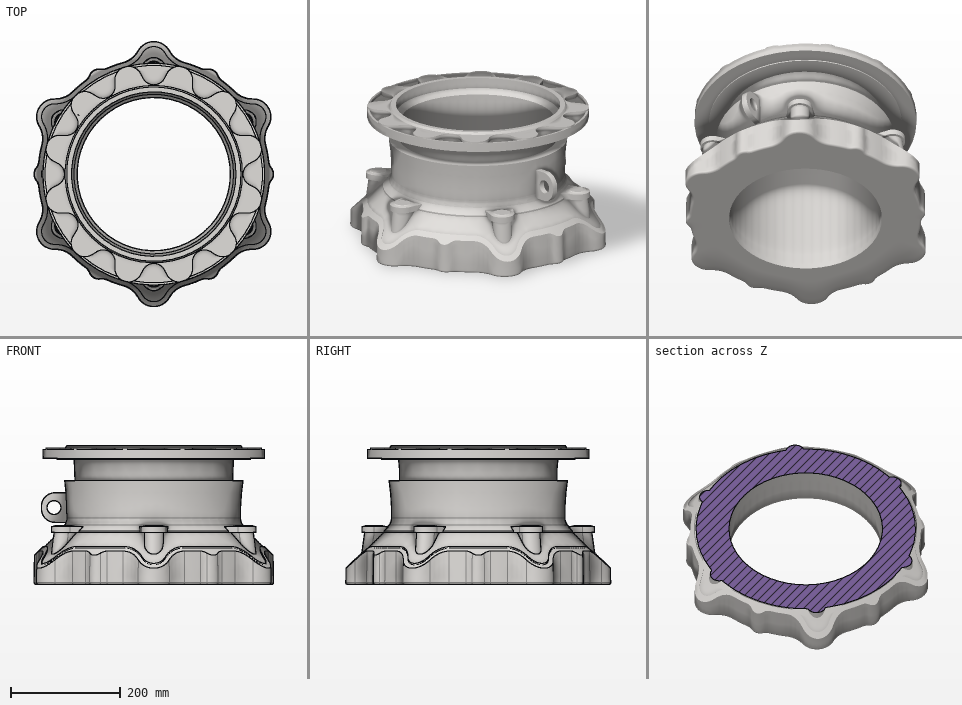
import cadquery as cq
import math

TOTAL_HEIGHT = 254.31
BORE_RADIUS = 280 / 2

MAIN_TIP_RADIUS = 485.42 / 2
SMALL_TIP_RADIUS = 438.73 / 2
BASE_RADIUS = 212.0
WALL_DRAFT = 1.0
BASE_EDGE_RADIUS = 4.0
MAIN_LOBE_ROUND = 33.0
MAIN_LOBE_FILLET = 45.0
SMALL_LOBE_ROUND = 18.5
SMALL_LOBE_FILLET = 22.0
LOBE_STEP = 60
MAIN_LOBE_ANGLES = range(30, 390, LOBE_STEP)
SMALL_LOBE_ANGLES = range(0, 360, LOBE_STEP)

SHOULDER_TOP = 109.5
SHOULDER_CONE_SUM = 272.3
RECESS_DEPTH = 3.0
RECESS_INSET = 9.3
COLLAR_RADIUS = 174.0

BODY_FOOT_RADIUS = SHOULDER_CONE_SUM - SHOULDER_TOP
BODY_WAIST_RADIUS = 159.0
BODY_WAIST_HEIGHT = 121.5
BODY_FLARE_MID_RADIUS = 159.9
BODY_MID_RADIUS = 159.8
BODY_TOP_RADIUS = 163.5
BODY_TOP = 190.5
NECK_BOTTOM_RADIUS = 144.5
NECK_TOP_RADIUS = 146.0
FLANGE_BOSS_RADIUS = 177.0
FLANGE_BOSS_BOTTOM = 229.0
FLANGE_RADIUS = 406 / 2
FLANGE_BOTTOM = 231.0
FLANGE_EDGE_TOP = 247.7
PAD_TOP = 250.3

RIM_FOOT_RADIUS = 162.3
RIM_TOP_RADIUS = 159.5
MOUTH_RADIUS = 301 / 2
MOUTH_DEPTH = 19.3
MOUTH_CONE_HEIGHT = 9.0

PAD_COUNT = 12
PAD_ROUND = 25.0
PAD_OVERHANG = 0.4
PAD_CENTRE_RADIUS = FLANGE_RADIUS + PAD_OVERHANG - PAD_ROUND
POCKET_INNER_RADIUS = 163.5
POCKET_ROUND = 22.0
POCKET_OUTER_RADIUS = 199.0
POCKET_FLOOR = 242.0

BOSS_CENTRE_RADIUS = 190.5
BOSS_HEAD_RADIUS = 22.5
BOSS_HEAD_BOTTOM = 95.4
BOSS_HEAD_TOP = 106.0
BOSS_CROWN_RISE = 1.5
BOSS_BACK_RADIUS = 165.0
BOSS_HEAD_BACK_HALF_WIDTH = 26.0
BOSS_STEM_RADIUS = 17.4
BOSS_STEM_LENGTH = 50.0
BOSS_STEM_TILT = 8.0
BOSS_SPOT_FOOT_RADIUS = 16.3
BOSS_SPOT_TOP_RADIUS = 14.8
BOSS_SPOT_RISE = 1.0

LUG_TIP_RADIUS = 205.8
LUG_HEIGHT = 54.7
LUG_CORNER_RADIUS = 25.2
LUG_THICKNESS = 10.7
LUG_DRAFT = 2.0
LUG_CENTRE_HEIGHT = 141.0
LUG_ROOT_RADIUS = 150.0
LUG_HOLE_RADIUS = 25 / 2
LUG_HOLE_CENTRE_RADIUS = 182.6


def polar(radius, degrees):
    angle = math.radians(degrees)
    return (radius * math.cos(angle), radius * math.sin(angle))


def lobe_points(base_radius, tip_radius, lobe_round, fillet):
    """Upper half of a lobe on the X axis: polar (radius, degrees) of its tangent and mid points."""
    centre = tip_radius - lobe_round
    fillet_centre_radius = base_radius + fillet
    cosine = (fillet_centre_radius**2 + centre**2 - (lobe_round + fillet) ** 2) / (
        2 * fillet_centre_radius * centre
    )
    spread = math.acos(cosine)
    fillet_x = fillet_centre_radius * cosine
    fillet_y = fillet_centre_radius * math.sin(spread)
    toward_lobe = math.atan2(-fillet_y, centre - fillet_x)
    toward_axis = spread - math.pi
    middle = (toward_lobe + toward_axis) / 2
    points = []
    for direction in (toward_axis, middle, toward_lobe):
        x = fillet_x + fillet * math.cos(direction)
        y = fillet_y + fillet * math.sin(direction)
        points.append((math.hypot(x, y), math.degrees(math.atan2(y, x))))
    return points


def lobed_outline(offset, with_small_lobes):
    """Closed outline: a circle carrying blended lobes, moved outward by offset."""
    main = (MAIN_TIP_RADIUS, MAIN_LOBE_ROUND, MAIN_LOBE_FILLET)
    small = (SMALL_TIP_RADIUS, SMALL_LOBE_ROUND, SMALL_LOBE_FILLET)
    lobes = [(angle, main) for angle in MAIN_LOBE_ANGLES]
    if with_small_lobes:
        lobes += [(angle, small) for angle in SMALL_LOBE_ANGLES]
    lobes.sort()
    base_radius = BASE_RADIUS + offset

    stations = []
    for angle, (tip, lobe_round, fillet) in lobes:
        half = lobe_points(base_radius, tip + offset, lobe_round + offset, fillet - offset)
        before = [polar(radius, angle - spread) for radius, spread in half]
        after = [polar(radius, angle + spread) for radius, spread in reversed(half)]
        spread = half[0][1]
        stations.append((angle - spread, angle + spread, before, polar(tip + offset, angle), after))

    outline = cq.Workplane("XY").moveTo(*stations[0][2][0])
    for index, (_, end, before, tip_point, after) in enumerate(stations):
        next_start = stations[(index + 1) % len(stations)][0] % 360
        if next_start < end:
            next_start += 360
        outline = (
            outline.threePointArc(before[1], before[2])
            .threePointArc(tip_point, after[0])
            .threePointArc(after[1], after[2])
            .threePointArc(polar(base_radius, (end + next_start) / 2), polar(base_radius, next_start))
        )
    return outline.close()


def around_axis(feature, angles):
    """Copies of a feature turned about the Z axis to each angle."""
    copies = [feature.val().rotate(cq.Vector(0, 0, 0), cq.Vector(0, 0, 1), angle) for angle in angles]
    return cq.Workplane(cq.Compound.makeCompound(copies))


def revolved(profile):
    return profile.close().revolve(360, (0, 0, 0), (0, 1, 0))


def cone_below(radius_height_sum, top):
    """Solid of revolution under a 45 degree cone, cut flat at the given height."""
    return revolved(
        cq.Workplane("XZ")
        .lineTo(radius_height_sum, 0)
        .lineTo(radius_height_sum - top, top)
        .lineTo(0, top)
    )


def make_base():
    """Drafted scalloped wall under the shoulder cone, with a recess around the collar."""
    draft = math.radians(WALL_DRAFT)
    foot_offset = BASE_EDGE_RADIUS * (math.tan(draft) + 1 / math.cos(draft) - 1)
    top_offset = foot_offset - SHOULDER_TOP * math.tan(draft)
    foot = lobed_outline(foot_offset, True).val()
    top = lobed_outline(top_offset, True).val().translate(cq.Vector(0, 0, SHOULDER_TOP))
    wall = cq.Workplane(cq.Solid.makeLoft([foot, top], True))
    wall = wall.faces("<Z").edges().fillet(BASE_EDGE_RADIUS)
    base = wall.intersect(cone_below(SHOULDER_CONE_SUM, SHOULDER_TOP))

    recess = lobed_outline(-RECESS_INSET, False).extrude(SHOULDER_TOP)
    recess = recess.cut(cone_below(SHOULDER_CONE_SUM - RECESS_DEPTH, SHOULDER_TOP))
    recess = recess.cut(cq.Workplane("XY").circle(COLLAR_RADIUS).extrude(SHOULDER_TOP))
    return base.cut(recess)


def make_body():
    flare_mid_height = (SHOULDER_TOP + BODY_WAIST_HEIGHT) / 2
    waist_mid_height = (BODY_WAIST_HEIGHT + BODY_TOP) / 2
    return revolved(
        cq.Workplane("XZ")
        .lineTo(BODY_FOOT_RADIUS, 0)
        .lineTo(BODY_FOOT_RADIUS, SHOULDER_TOP)
        .threePointArc((BODY_FLARE_MID_RADIUS, flare_mid_height), (BODY_WAIST_RADIUS, BODY_WAIST_HEIGHT))
        .threePointArc((BODY_MID_RADIUS, waist_mid_height), (BODY_TOP_RADIUS, BODY_TOP))
        .lineTo(NECK_BOTTOM_RADIUS, BODY_TOP)
        .lineTo(NECK_TOP_RADIUS, FLANGE_BOSS_BOTTOM)
        .lineTo(FLANGE_BOSS_RADIUS, FLANGE_BOSS_BOTTOM)
        .lineTo(FLANGE_BOSS_RADIUS, FLANGE_BOTTOM)
        .lineTo(FLANGE_RADIUS, FLANGE_BOTTOM)
        .lineTo(FLANGE_RADIUS, PAD_TOP)
        .lineTo(RIM_FOOT_RADIUS, PAD_TOP)
        .lineTo(RIM_TOP_RADIUS, TOTAL_HEIGHT)
        .lineTo(0, TOTAL_HEIGHT)
    )


def pocket_outline(bottom):
    """Gap between two neighbouring round-ended pads, centred on the X axis."""
    half_pitch = 180 / PAD_COUNT
    pocket_centre = POCKET_INNER_RADIUS + POCKET_ROUND
    pad_x, pad_y = polar(PAD_CENTRE_RADIUS, half_pitch)
    distance = math.hypot(pad_x - pocket_centre, pad_y)
    bearing = math.degrees(math.atan2(pad_y, pad_x - pocket_centre))
    swing = math.degrees(math.acos((POCKET_ROUND + PAD_ROUND) / distance))
    contact_x, contact_y = polar(1, bearing + swing)
    pocket_tangent = (pocket_centre + POCKET_ROUND * contact_x, POCKET_ROUND * contact_y)
    pad_tangent = (pad_x - PAD_ROUND * contact_x, pad_y - PAD_ROUND * contact_y)
    tip_x, tip_y = polar(PAD_ROUND, half_pitch)
    pad_tip = (pad_x + tip_x, pad_y + tip_y)
    middle_x, middle_y = polar(PAD_ROUND, (bearing + swing + 180 + half_pitch + 360) / 2)
    pad_middle = (pad_x + middle_x, pad_y + middle_y)

    def mirrored(point):
        return (point[0], -point[1])

    outer = polar(FLANGE_RADIUS + PAD_ROUND, half_pitch)
    return (
        cq.Workplane("XY", origin=(0, 0, bottom))
        .moveTo(*pocket_tangent)
        .threePointArc((POCKET_INNER_RADIUS, 0), mirrored(pocket_tangent))
        .lineTo(*mirrored(pad_tangent))
        .threePointArc(mirrored(pad_middle), mirrored(pad_tip))
        .lineTo(*mirrored(outer))
        .lineTo(*outer)
        .lineTo(*pad_tip)
        .threePointArc(pad_middle, pad_tangent)
        .close()
    )


def cut_pockets(part):
    depth = TOTAL_HEIGHT - POCKET_FLOOR
    floor_limit = cq.Workplane("XY", origin=(0, 0, POCKET_FLOOR)).circle(POCKET_OUTER_RADIUS).extrude(depth)
    deep = pocket_outline(POCKET_FLOOR).extrude(depth).intersect(floor_limit)
    edge = pocket_outline(FLANGE_EDGE_TOP).extrude(TOTAL_HEIGHT - FLANGE_EDGE_TOP)
    pocket = deep.union(edge)
    angles = [index * 360 / PAD_COUNT for index in range(PAD_COUNT)]
    return part.cut(around_axis(pocket, angles))


def boss_cone(bottom_radius, top_radius, bottom, rise):
    centre = cq.Vector(BOSS_CENTRE_RADIUS, 0, bottom)
    return cq.Workplane(cq.Solid.makeCone(bottom_radius, top_radius, rise, centre))


def round_nosed(radius, back_half_width, bottom, rise):
    """Upright block on the X axis: round outer end, sides running back into the shoulder."""
    return (
        cq.Workplane("XY", origin=(0, 0, bottom))
        .moveTo(BOSS_CENTRE_RADIUS, -radius)
        .threePointArc((BOSS_CENTRE_RADIUS + radius, 0), (BOSS_CENTRE_RADIUS, radius))
        .lineTo(BOSS_BACK_RADIUS, back_half_width)
        .lineTo(BOSS_BACK_RADIUS, -back_half_width)
        .close()
        .extrude(rise)
    )


def make_boss():
    """Bolt boss on the X axis: leaning stem, flared head, coned crown and raised spot face."""
    head_rise = BOSS_HEAD_TOP - BOSS_HEAD_BOTTOM
    head = round_nosed(BOSS_HEAD_RADIUS, BOSS_HEAD_BACK_HALF_WIDTH, BOSS_HEAD_BOTTOM, head_rise)
    stem_root = BOSS_HEAD_BOTTOM + head_rise / 2
    stem = round_nosed(BOSS_STEM_RADIUS, BOSS_STEM_RADIUS, stem_root, -BOSS_STEM_LENGTH).rotate(
        (BOSS_CENTRE_RADIUS, 0, BOSS_HEAD_BOTTOM),
        (BOSS_CENTRE_RADIUS, 1, BOSS_HEAD_BOTTOM),
        -BOSS_STEM_TILT,
    )
    crown = boss_cone(BOSS_HEAD_RADIUS, BOSS_SPOT_FOOT_RADIUS, BOSS_HEAD_TOP, BOSS_CROWN_RISE)
    spot_bottom = BOSS_HEAD_TOP + BOSS_CROWN_RISE
    spot = boss_cone(BOSS_SPOT_FOOT_RADIUS, BOSS_SPOT_TOP_RADIUS, spot_bottom, BOSS_SPOT_RISE)
    return stem.union(head).union(crown).union(spot)


def make_lug():
    """Round-cornered plate drafted both ways from its middle plane, with a pin hole."""
    half_height = LUG_HEIGHT / 2
    flat_half = half_height - LUG_CORNER_RADIUS
    corner_x = LUG_CORNER_RADIUS - LUG_TIP_RADIUS
    arc_x, arc_z = polar(LUG_CORNER_RADIUS, 135)
    plate = (
        cq.Workplane("XZ", origin=(0, 0, LUG_CENTRE_HEIGHT))
        .moveTo(-LUG_ROOT_RADIUS, half_height)
        .lineTo(corner_x, half_height)
        .threePointArc((corner_x + arc_x, flat_half + arc_z), (-LUG_TIP_RADIUS, flat_half))
        .lineTo(-LUG_TIP_RADIUS, -flat_half)
        .threePointArc((corner_x + arc_x, -flat_half - arc_z), (corner_x, -half_height))
        .lineTo(-LUG_ROOT_RADIUS, -half_height)
        .close()
        .extrude(LUG_THICKNESS / 2, both=True, taper=LUG_DRAFT)
    )
    hole = (
        cq.Workplane("XZ", origin=(-LUG_HOLE_CENTRE_RADIUS, 0, LUG_CENTRE_HEIGHT))
        .circle(LUG_HOLE_RADIUS)
        .extrude(LUG_THICKNESS, both=True)
    )
    return plate.cut(hole)


def make_bore():
    mouth_bottom = TOTAL_HEIGHT - MOUTH_DEPTH
    return revolved(
        cq.Workplane("XZ")
        .lineTo(BORE_RADIUS, 0)
        .lineTo(BORE_RADIUS, mouth_bottom - MOUTH_CONE_HEIGHT)
        .lineTo(MOUTH_RADIUS, mouth_bottom)
        .lineTo(MOUTH_RADIUS, TOTAL_HEIGHT)
        .lineTo(0, TOTAL_HEIGHT)
    )


part = cut_pockets(make_body())
part = part.union(make_base())
part = part.union(around_axis(make_boss(), MAIN_LOBE_ANGLES))
part = part.union(make_lug())
result = part.cut(make_bore())